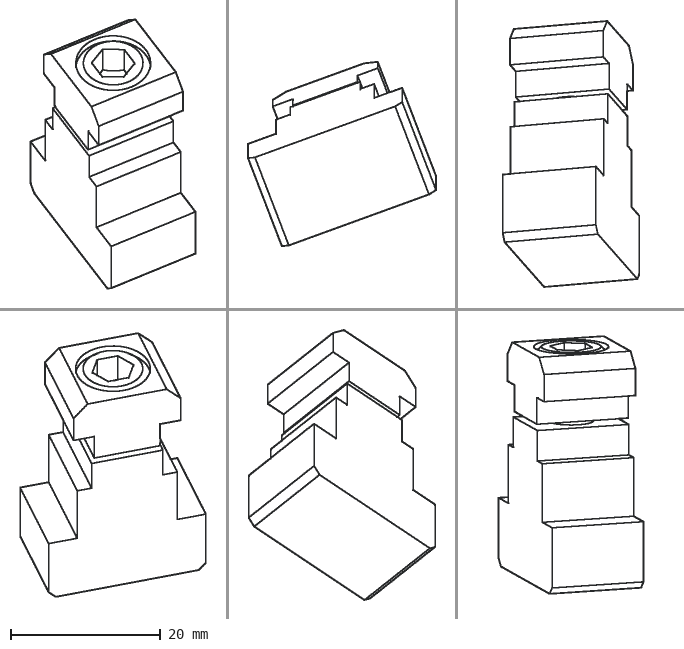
import cadquery as cq
import math

body_depth = 12.95
base_width = 22.0
base_top = 9.2
base_chamfer = 1.0
middle_width = 14.0
middle_top = 17.18
upper_width = 10.0
upper_top = 21.32

block_setback = 0.05
neck_width = 9.2
neck_bottom = 22.1
cap_width = 15.0
cap_bottom = 25.72
cap_chamfer = 1.98
total_height = 31.4

shank_diameter = 6.0
head_diameter = 10.0
head_chamfer = 1.0
socket_across_flats = 5.0
socket_depth = 4.0
socket_tip_angle = 120.0

body_center_y = -block_setback / 2
block_center_y = block_setback / 2


def extrude_half_profile(half_points, center_y):
    """Mirror a right-hand XZ outline about Z and extrude it centred on center_y."""
    mirrored = [(-x, z) for x, z in reversed(half_points)]
    return (
        cq.Workplane("XZ", origin=(0, center_y, 0))
        .polyline(half_points + mirrored)
        .close()
        .extrude(body_depth / 2, both=True)
    )


def make_body():
    return extrude_half_profile(
        [
            (base_width / 2 - base_chamfer, 0),
            (base_width / 2, base_chamfer),
            (base_width / 2, base_top),
            (middle_width / 2, base_top),
            (middle_width / 2, middle_top),
            (upper_width / 2, middle_top),
            (upper_width / 2, upper_top),
        ],
        body_center_y,
    )


def make_block():
    return extrude_half_profile(
        [
            (neck_width / 2, neck_bottom),
            (neck_width / 2, cap_bottom),
            (cap_width / 2, cap_bottom),
            (cap_width / 2, total_height - cap_chamfer),
            (cap_width / 2 - cap_chamfer, total_height),
        ],
        block_center_y,
    )


def make_shank():
    """Exposed screw shank joining the body and the block."""
    return (
        cq.Workplane("XY", origin=(0, 0, upper_top))
        .circle(shank_diameter / 2)
        .extrude(neck_bottom - upper_top)
    )


def make_head_groove():
    """Ring-shaped groove left between the chamfered head and its bore."""
    head_radius = head_diameter / 2
    return (
        cq.Workplane("XZ")
        .moveTo(head_radius - head_chamfer, total_height)
        .lineTo(head_radius, total_height - head_chamfer)
        .lineTo(head_radius, total_height)
        .close()
        .revolve(360, (0, 0, 0), (0, 1, 0))
    )


def make_socket():
    """Hexagonal socket ending in a conical drill point."""
    across_corners = socket_across_flats / math.cos(math.pi / 6)
    corner_radius = across_corners / 2
    tip_depth = corner_radius / math.tan(math.radians(socket_tip_angle / 2))
    floor = total_height - socket_depth
    hexagon = (
        cq.Workplane("XY", origin=(0, 0, floor - tip_depth))
        .polygon(6, across_corners)
        .extrude(socket_depth + tip_depth)
    )
    pointed_hole = (
        cq.Workplane("XZ")
        .moveTo(0, floor - tip_depth)
        .lineTo(corner_radius, floor)
        .lineTo(corner_radius, total_height)
        .lineTo(0, total_height)
        .close()
        .revolve(360, (0, 0, 0), (0, 1, 0))
    )
    return hexagon.intersect(pointed_hole)


result = (
    make_body()
    .union(make_shank())
    .union(make_block())
    .cut(make_head_groove())
    .cut(make_socket())
)